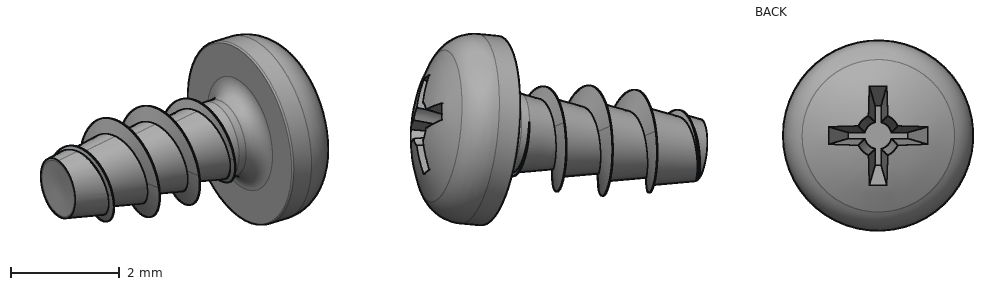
import cadquery as cq
import math


head_radius = 1.75
rim_height = 0.42
shoulder_radius = 0.70
dome_radius = 2.80
rim_edge_round = 0.03

recess_top = 1.50
recess_floor = 0.50
recess_wing_radius = 0.91
recess_wing_level = 1.25
recess_wing_width = 0.39
recess_wing_draft = 8.0
recess_end_angle = 26.0
recess_core_radius = 0.425
recess_core_draft = 10.0

shank_length = 4.0
neck_radius = 0.735
neck_fillet = 0.35
neck_overlap = 0.20
neck_end = -0.50
core_radius = 0.57
core_taper = 10.0
tip_radius = 0.575
dimple_radius = 0.537
dimple_depth = 0.04

pitch = 0.885
thread_radius = 1.0
thread_origin = -0.445
crest_half_width = 0.01
flank_angle = 15.5
buried_radius = 0.45
first_turn = -0.25
full_height_turn = 1.0
runout_turn = 2.58
last_turn = 4.0
lead_in_radius = 0.735
runout_radius = 0.57
points_per_turn = 24
face_turns = 0.5

step_radius = 0.73
step_offset = 0.04
step_height = 0.83
step_buried_radius = 0.40
step_first_turn = 0.0

taper_slope = math.tan(math.radians(core_taper))


def revolve_about_axis(profile):
    return profile.close().revolve(360, (0, 0, 0), (0, 1, 0))


def make_head():
    shoulder_x = head_radius - shoulder_radius
    dome_angle = math.asin(shoulder_x / (dome_radius - shoulder_radius))
    dome_center = rim_height - (dome_radius - shoulder_radius) * math.cos(dome_angle)

    def shoulder_point(angle):
        x = shoulder_x + shoulder_radius * math.sin(angle)
        y = rim_height + shoulder_radius * math.cos(angle)
        return (x, y)

    def dome_point(angle):
        return (dome_radius * math.sin(angle), dome_center + dome_radius * math.cos(angle))

    profile = (
        cq.Workplane("XY")
        .moveTo(0, 0)
        .lineTo(head_radius - rim_edge_round, 0)
        .radiusArc((head_radius, rim_edge_round), -rim_edge_round)
        .lineTo(head_radius, rim_height)
        .threePointArc(shoulder_point((dome_angle + math.pi / 2) / 2), shoulder_point(dome_angle))
        .threePointArc(dome_point(dome_angle / 2), dome_point(0))
    )
    return revolve_about_axis(profile)


def make_recess():
    depth = recess_top - recess_floor
    end_slope = math.tan(math.radians(recess_end_angle))
    wing_slope = math.tan(math.radians(recess_wing_draft))
    core_slope = math.tan(math.radians(recess_core_draft))

    top_reach = recess_wing_radius + (recess_top - recess_wing_level) * end_slope
    floor_reach = top_reach - depth * end_slope
    floor_width = recess_wing_width - 2 * depth * wing_slope
    wing_pair = (
        cq.Workplane("XZ", origin=(0, recess_top, 0))
        .rect(2 * top_reach, recess_wing_width)
        .workplane(offset=depth)
        .rect(2 * floor_reach, floor_width)
        .loft(ruled=True)
    )
    core = revolve_about_axis(
        cq.Workplane("XY")
        .moveTo(0, recess_floor)
        .lineTo(recess_core_radius - depth * core_slope, recess_floor)
        .lineTo(recess_core_radius, recess_top)
        .lineTo(0, recess_top)
    )
    crossing_pair = wing_pair.rotate((0, 0, 0), (0, 1, 0), 90)
    return core.union(wing_pair).union(crossing_pair)


def make_neck_and_core():
    taper_end = neck_end - (neck_radius - core_radius) / taper_slope
    outer = neck_radius + neck_fillet
    profile = (
        cq.Workplane("XY")
        .moveTo(0, neck_overlap)
        .lineTo(outer, neck_overlap)
        .lineTo(outer, 0)
        .radiusArc((neck_radius, -neck_fillet), -neck_fillet)
        .lineTo(neck_radius, neck_end)
        .lineTo(core_radius, taper_end)
        .lineTo(core_radius, -shank_length)
        .lineTo(0, -shank_length)
    )
    return revolve_about_axis(profile)


def crest_level(turn):
    return min(neck_end, thread_origin - pitch * turn)


def crest_radius(turn):
    if turn < full_height_turn:
        share = (full_height_turn - turn) / (full_height_turn - first_turn)
        return thread_radius + (lead_in_radius - thread_radius) * share
    if turn > runout_turn:
        share = (turn - runout_turn) / (last_turn - runout_turn)
        return thread_radius + (runout_radius - thread_radius) * share
    return thread_radius


def thread_section(turn):
    crest = crest_radius(turn)
    level = crest_level(turn)
    flank_run = (crest - buried_radius) * math.tan(math.radians(flank_angle))
    base_half_width = crest_half_width + flank_run
    return [
        (buried_radius, level + base_half_width),
        (crest, level + crest_half_width),
        (crest, level - crest_half_width),
        (buried_radius, level - base_half_width),
    ]


def step_section(turn):
    top = thread_origin - pitch * turn - step_offset
    tip_cone_radius = tip_radius + (top + shank_length) * taper_slope
    top_radius = min(step_radius, tip_cone_radius)
    bottom = top - step_height
    bottom_radius = top_radius - step_height * taper_slope
    return [
        (step_buried_radius, top),
        (top_radius, top),
        (bottom_radius, bottom),
        (step_buried_radius, bottom),
    ]


def point_on_helix(turn, radius, level):
    angle = 2 * math.pi * turn
    return cq.Vector(radius * math.sin(angle), level, -radius * math.cos(angle))


def make_helical_rib(section, start, end):
    count = round((end - start) * points_per_turn)
    turns = [start + (end - start) * i / count for i in range(count + 1)]
    corner_count = len(section(start))
    curves = []
    for corner in range(corner_count):
        points = [point_on_helix(turn, *section(turn)[corner]) for turn in turns]
        curves.append(cq.Edge.makeSpline(points, parameters=turns))
    faces = []
    for part in range(math.ceil((end - start) / face_turns)):
        part_start = start + part * face_turns
        part_end = min(part_start + face_turns, end)
        pieces = [curve.trim(part_start, part_end) for curve in curves]
        for corner in range(corner_count):
            following = pieces[(corner + 1) % corner_count]
            faces.append(cq.Face.makeRuledSurface(pieces[corner], following))
    for turn in (start, end):
        corners = [point_on_helix(turn, *corner) for corner in section(turn)]
        faces.append(cq.Face.makeFromWires(cq.Wire.makePolygon(corners, close=True)))
    rib = cq.Solid.makeSolid(cq.Shell.makeShell(faces))
    return cq.Workplane(obj=rib.fix())


def make_tip_cutter():
    beyond = -shank_length - pitch
    profile = (
        cq.Workplane("XY")
        .moveTo(0, -shank_length + dimple_depth)
        .lineTo(dimple_radius, -shank_length)
        .lineTo(head_radius, -shank_length)
        .lineTo(head_radius, beyond)
        .lineTo(0, beyond)
    )
    return revolve_about_axis(profile)


head = make_head().cut(make_recess())
step = make_helical_rib(step_section, step_first_turn, last_turn)
thread = make_helical_rib(thread_section, first_turn, last_turn)
ribs = step.union(thread)
shank = ribs.union(make_neck_and_core()).cut(make_tip_cutter())
result = shank.union(head)